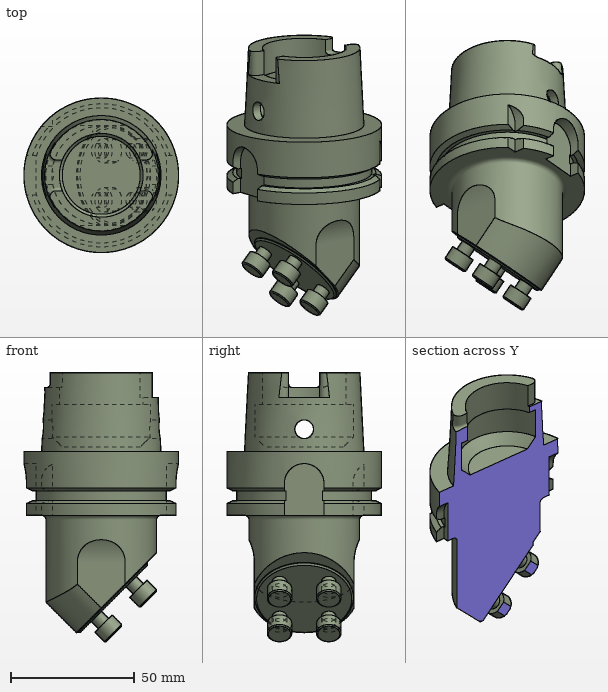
import cadquery as cq
import math

SHANK_HEIGHT = 32.0
SHANK_BASE_RADIUS = 24.3
SHANK_TOP_RADIUS = 22.7

BORE_RADIUS = 34.05 / 2
BORE_MOUTH_BOTTOM_Z = 19.0
UNDERCUT_RADIUS = 40.08 / 2
UNDERCUT_BOTTOM_Z = 5.9
BORE_FLOOR_RADIUS = 31.7 / 2
BORE_FLOOR_Z = UNDERCUT_BOTTOM_Z - (UNDERCUT_RADIUS - BORE_FLOOR_RADIUS)
CROSS_HOLE_DIAMETER = 7.5
CROSS_HOLE_Z = 9.0

NOTCH_HALF_WIDTH = 6.3
NOTCH_CORNER_RADIUS = 2.5
NOTCH_SHOULDER_X = 20.8
DEEP_NOTCH_DEPTH = 10.0
SHALLOW_NOTCH_DEPTH = 6.0
NOTCH_FLOOR_FILLET = 1.4

FLANGE_RADIUS = 62.94 / 2
FLANGE_HEIGHT = 26.0
GROOVE_FLOOR_RADIUS = 27.5
GROOVE_WALL_RADIUS = 29.1
GROOVE_CENTER_Z = -18.0
GROOVE_FLOOR_WIDTH = 4.0
GROOVE_MOUTH_WIDTH = 6.4

KEYWAY_RADIUS = 8.05
KEYWAY_FLOOR = 26.5
KEYWAY_CENTER_Z = -13.0
SIDE_NOTCH_RADIUS = 8.0
SIDE_NOTCH_FLOOR = 19.9
SIDE_NOTCH_CENTER_Z = -12.5

BODY_RADIUS = 22.5
NECK_FILLET = 1.8
FLAT_DISTANCE = 20.3
FLAT_START_Z = -45.0
FLAT_RUNOUT_RADIUS = 20.0

TILT = 45.0
FACE_DISTANCE = 45.0
HEAD_RADIUS = 21.6
HEAD_TANGENT_ALONG = -45.0
DISC_RADIUS = 40.08 / 2
DISC_THICKNESS = 1.0
DISC_CHAMFER = 0.7
DISC_CENTER_ALONG = -38.82

SCREW_PITCH = 20.0
SCREW_SHANK_DIAMETER = 6.0
SCREW_SHANK_LENGTH = 4.1
SCREW_HEAD_DIAMETER = 10.0
SCREW_HEAD_LENGTH = 6.0
SCREW_HEAD_CHAMFER = 0.5

ROOT_DEPTH = 0.5

CLEAR = 120.0


TILT_SIN = math.sin(math.radians(TILT))
TILT_COS = math.cos(math.radians(TILT))
ALONG_DIRECTION = cq.Vector(TILT_COS, 0, TILT_SIN)
OUT_DIRECTION = cq.Vector(TILT_SIN, 0, -TILT_COS)
OUTERMOST = cq.selectors.DirectionMinMaxSelector(OUT_DIRECTION, True)

QUARTER_MID = math.sqrt(0.5)


def tilted_plane(along, out):
    """Plane parallel to the mounting face: local X is 'along', local Y is world Y reversed."""
    origin = ALONG_DIRECTION * along + OUT_DIRECTION * out
    return cq.Plane(origin=origin, xDir=ALONG_DIRECTION, normal=OUT_DIRECTION)


def make_turned_blank():
    """Bored shank, grooved flange and cylindrical body as one revolved outline."""
    floor_half = GROOVE_FLOOR_WIDTH / 2
    mouth_half = GROOVE_MOUTH_WIDTH / 2
    fillet_offset = NECK_FILLET * (1 - QUARTER_MID)
    return (
        cq.Workplane("YZ")
        .moveTo(0, BORE_FLOOR_Z)
        .lineTo(BORE_FLOOR_RADIUS, BORE_FLOOR_Z)
        .lineTo(UNDERCUT_RADIUS, UNDERCUT_BOTTOM_Z)
        .lineTo(UNDERCUT_RADIUS, BORE_MOUTH_BOTTOM_Z)
        .lineTo(BORE_RADIUS, BORE_MOUTH_BOTTOM_Z)
        .lineTo(BORE_RADIUS, SHANK_HEIGHT)
        .lineTo(SHANK_TOP_RADIUS, SHANK_HEIGHT)
        .lineTo(SHANK_BASE_RADIUS, 0)
        .lineTo(FLANGE_RADIUS, 0)
        .lineTo(FLANGE_RADIUS, GROOVE_CENTER_Z + mouth_half)
        .lineTo(GROOVE_WALL_RADIUS, GROOVE_CENTER_Z + floor_half)
        .lineTo(GROOVE_FLOOR_RADIUS, GROOVE_CENTER_Z + floor_half)
        .lineTo(GROOVE_FLOOR_RADIUS, GROOVE_CENTER_Z - floor_half)
        .lineTo(GROOVE_WALL_RADIUS, GROOVE_CENTER_Z - floor_half)
        .lineTo(FLANGE_RADIUS, GROOVE_CENTER_Z - mouth_half)
        .lineTo(FLANGE_RADIUS, -FLANGE_HEIGHT)
        .lineTo(BODY_RADIUS + NECK_FILLET, -FLANGE_HEIGHT)
        .threePointArc(
            (BODY_RADIUS + fillet_offset, -FLANGE_HEIGHT - fillet_offset),
            (BODY_RADIUS, -FLANGE_HEIGHT - NECK_FILLET),
        )
        .lineTo(BODY_RADIUS, -CLEAR)
        .lineTo(0, -CLEAR)
        .close()
        .revolve(360, (0, 0, 0), (0, 1, 0))
    )


def make_cross_hole():
    """Hole along X through both walls of the shank."""
    return (
        cq.Workplane("YZ")
        .center(0, CROSS_HOLE_Z)
        .circle(CROSS_HOLE_DIAMETER / 2)
        .extrude(FLANGE_RADIUS, both=True)
    )


def make_drive_notch(side, depth):
    """Rim notch on the +X (side = 1) or -X (side = -1) wall; it leaves rounded lobe corners."""
    arc_offset = NOTCH_CORNER_RADIUS * QUARTER_MID
    corner_x = NOTCH_SHOULDER_X - NOTCH_CORNER_RADIUS
    corner_y = NOTCH_HALF_WIDTH + NOTCH_CORNER_RADIUS
    arc_mid = (corner_x + arc_offset, corner_y - arc_offset)
    return (
        cq.Workplane("XY", origin=(0, 0, SHANK_HEIGHT - depth))
        .moveTo(0, -NOTCH_HALF_WIDTH)
        .lineTo(side * corner_x, -NOTCH_HALF_WIDTH)
        .threePointArc((side * arc_mid[0], -arc_mid[1]), (side * NOTCH_SHOULDER_X, -corner_y))
        .lineTo(side * NOTCH_SHOULDER_X, -FLANGE_RADIUS)
        .lineTo(side * FLANGE_RADIUS, -FLANGE_RADIUS)
        .lineTo(side * FLANGE_RADIUS, FLANGE_RADIUS)
        .lineTo(side * NOTCH_SHOULDER_X, FLANGE_RADIUS)
        .lineTo(side * NOTCH_SHOULDER_X, corner_y)
        .threePointArc((side * arc_mid[0], arc_mid[1]), (side * corner_x, NOTCH_HALF_WIDTH))
        .lineTo(0, NOTCH_HALF_WIDTH)
        .close()
        .extrude(depth)
    )


def make_keyway(side, floor, radius, center_y, center_z):
    """Round-topped flange slot, open downward, from the floor at |X| = floor outward."""
    return (
        cq.Workplane("YZ", origin=(side * floor, center_y, center_z))
        .moveTo(-radius, 0)
        .threePointArc((0, radius), (radius, 0))
        .lineTo(radius, -FLANGE_HEIGHT - center_z)
        .lineTo(-radius, -FLANGE_HEIGHT - center_z)
        .close()
        .extrude(side * FLANGE_RADIUS)
    )


def make_body_flat(side):
    """Flat on the +Y or -Y side of the body that runs out upward along an arc."""
    runout_end = (side * (FLAT_DISTANCE + FLAT_RUNOUT_RADIUS), FLAT_START_Z + FLAT_RUNOUT_RADIUS)
    runout_mid = (
        side * (FLAT_DISTANCE + FLAT_RUNOUT_RADIUS * (1 - QUARTER_MID)),
        FLAT_START_Z + FLAT_RUNOUT_RADIUS * QUARTER_MID,
    )
    return (
        cq.Workplane("YZ")
        .moveTo(side * FLAT_DISTANCE, -CLEAR)
        .lineTo(side * FLAT_DISTANCE, FLAT_START_Z)
        .threePointArc(runout_mid, runout_end)
        .lineTo(runout_end[0], -CLEAR)
        .close()
        .extrude(BODY_RADIUS, both=True)
    )


def make_head_envelope():
    """Tilted prism that bounds the body: rounded lower side, open upper side, flat end face."""
    center_along = HEAD_TANGENT_ALONG + math.sqrt(HEAD_RADIUS**2 - FLAT_DISTANCE**2)
    return (
        cq.Workplane(tilted_plane(center_along, FACE_DISTANCE))
        .moveTo(0, HEAD_RADIUS)
        .threePointArc((-HEAD_RADIUS, 0), (0, -HEAD_RADIUS))
        .lineTo(0, -FLANGE_RADIUS)
        .lineTo(CLEAR, -FLANGE_RADIUS)
        .lineTo(CLEAR, FLANGE_RADIUS)
        .lineTo(0, FLANGE_RADIUS)
        .close()
        .extrude(-CLEAR)
    )


def make_disc():
    """Thin round pad with a chamfered rim on the mounting face, rooted inside the head."""
    root = tilted_plane(DISC_CENTER_ALONG, FACE_DISTANCE - ROOT_DEPTH)
    disc = cq.Workplane(root).circle(DISC_RADIUS).extrude(ROOT_DEPTH + DISC_THICKNESS)
    return disc.faces(OUTERMOST).edges().chamfer(DISC_CHAMFER)


def make_screws():
    """Four cap screws in a square pattern standing on the disc."""
    disc_face = FACE_DISTANCE + DISC_THICKNESS
    head_seat = disc_face + SCREW_SHANK_LENGTH
    shanks = (
        cq.Workplane(tilted_plane(DISC_CENTER_ALONG, disc_face - ROOT_DEPTH))
        .rarray(SCREW_PITCH, SCREW_PITCH, 2, 2)
        .circle(SCREW_SHANK_DIAMETER / 2)
        .extrude(ROOT_DEPTH + SCREW_SHANK_LENGTH)
    )
    heads = (
        cq.Workplane(tilted_plane(DISC_CENTER_ALONG, head_seat))
        .rarray(SCREW_PITCH, SCREW_PITCH, 2, 2)
        .circle(SCREW_HEAD_DIAMETER / 2)
        .extrude(SCREW_HEAD_LENGTH)
        .faces(OUTERMOST)
        .edges()
        .chamfer(SCREW_HEAD_CHAMFER)
    )
    return shanks.union(heads)


body = make_turned_blank().intersect(make_head_envelope())
for side in (1, -1):
    body = body.cut(make_body_flat(side))
    body = body.cut(make_keyway(side, KEYWAY_FLOOR, KEYWAY_RADIUS, 0, KEYWAY_CENTER_Z))

side_notch_y = SIDE_NOTCH_FLOOR + SIDE_NOTCH_RADIUS
body = body.cut(
    make_keyway(-1, SIDE_NOTCH_FLOOR, SIDE_NOTCH_RADIUS, side_notch_y, SIDE_NOTCH_CENTER_Z)
)

shallow_notch = make_drive_notch(-1, SHALLOW_NOTCH_DEPTH)
inner_floor_edges = "not(>X or <X or >Y or <Y)"
shallow_notch = shallow_notch.faces("<Z").edges(inner_floor_edges).fillet(NOTCH_FLOOR_FILLET)
body = body.cut(make_drive_notch(1, DEEP_NOTCH_DEPTH)).cut(shallow_notch)
body = body.cut(make_cross_hole())

result = body.union(make_disc()).union(make_screws())